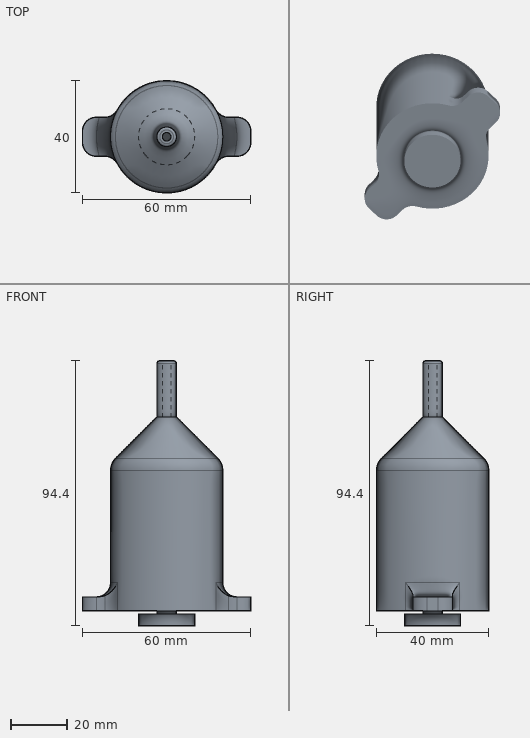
import cadquery as cq
import math

BODY_RADIUS = 40.0 / 2
BODY_STRAIGHT_HEIGHT = 50.0
SHOULDER_RADIUS = 6.0
NOZZLE_RADIUS = 7.0 / 2
NOZZLE_LENGTH = 20.0
NOZZLE_EDGE_RADIUS = 1.0
BORE_DIAMETER = 3.0

LUG_SPAN = 60.0
LUG_WIDTH = 14.0
LUG_THICKNESS = 5.0
LUG_FILLET = 5.0

TOTAL_HEIGHT = 94.4
KNOB_DIAMETER = 20.0
KNOB_THICKNESS = 4.25
STEM_DIAMETER = 7.0

DIAGONAL = math.sqrt(0.5)
SHOULDER_CENTER_RADIUS = BODY_RADIUS - SHOULDER_RADIUS
CONE_BASE_RADIUS = SHOULDER_CENTER_RADIUS + SHOULDER_RADIUS * DIAGONAL
CONE_BASE_Z = BODY_STRAIGHT_HEIGHT + SHOULDER_RADIUS * DIAGONAL
CONE_TOP_Z = CONE_BASE_Z + CONE_BASE_RADIUS - NOZZLE_RADIUS
NOZZLE_TOP_Z = CONE_TOP_Z + NOZZLE_LENGTH
STEM_LENGTH = TOTAL_HEIGHT - NOZZLE_TOP_Z - KNOB_THICKNESS


def make_barrel():
    """Revolved cylinder, rounded shoulder, cone and nozzle."""
    shoulder_mid_angle = math.radians(22.5)
    shoulder_mid = (
        SHOULDER_CENTER_RADIUS + SHOULDER_RADIUS * math.cos(shoulder_mid_angle),
        BODY_STRAIGHT_HEIGHT + SHOULDER_RADIUS * math.sin(shoulder_mid_angle),
    )
    profile = (
        cq.Workplane("XZ")
        .lineTo(BODY_RADIUS, 0)
        .lineTo(BODY_RADIUS, BODY_STRAIGHT_HEIGHT)
        .threePointArc(shoulder_mid, (CONE_BASE_RADIUS, CONE_BASE_Z))
        .lineTo(NOZZLE_RADIUS, CONE_TOP_Z)
        .lineTo(NOZZLE_RADIUS, NOZZLE_TOP_Z)
        .lineTo(0, NOZZLE_TOP_Z)
        .close()
    )
    barrel = profile.revolve(360, (0, 0, 0), (0, 1, 0))
    return barrel.faces(">Z").edges().fillet(NOZZLE_EDGE_RADIUS)


def make_lug_plan():
    """Prism of the two-lug outline, blended into the round body at each root."""
    height = LUG_THICKNESS + LUG_FILLET
    strap = cq.Workplane("XY").rect(LUG_SPAN, LUG_WIDTH).extrude(height)
    strap = strap.edges("|Z").fillet(LUG_FILLET)

    center_y = LUG_WIDTH / 2 + LUG_FILLET
    center_distance = BODY_RADIUS + LUG_FILLET
    center_x = math.sqrt(center_distance**2 - center_y**2)
    touch_scale = BODY_RADIUS / center_distance
    touch = (center_x * touch_scale, center_y * touch_scale)
    root_end = (center_x, LUG_WIDTH / 2)
    middle = ((touch[0] + root_end[0]) / 2 - center_x, (touch[1] + root_end[1]) / 2 - center_y)
    middle_scale = LUG_FILLET / math.hypot(*middle)
    arc_middle = (center_x + middle[0] * middle_scale, center_y + middle[1] * middle_scale)

    root = (
        cq.Workplane("XY")
        .lineTo(center_x, 0)
        .lineTo(*root_end)
        .threePointArc(arc_middle, touch)
        .close()
        .extrude(height)
    )
    root_pair = root.union(root.mirror("XZ"))
    return strap.union(root_pair).union(root_pair.mirror("YZ"))


def make_lugs():
    """Lug outline capped by a flange with a concave blend up to the body wall."""
    blend_outer = BODY_RADIUS + LUG_FILLET
    blend_top = LUG_THICKNESS + LUG_FILLET
    blend_middle = (blend_outer - LUG_FILLET * DIAGONAL, blend_top - LUG_FILLET * DIAGONAL)
    flange = (
        cq.Workplane("XZ")
        .lineTo(LUG_SPAN, 0)
        .lineTo(LUG_SPAN, LUG_THICKNESS)
        .lineTo(blend_outer, LUG_THICKNESS)
        .threePointArc(blend_middle, (BODY_RADIUS, blend_top))
        .lineTo(0, blend_top)
        .close()
        .revolve(360, (0, 0, 0), (0, 1, 0))
    )
    return make_lug_plan().intersect(flange)


def make_housing():
    """Barrel with mounting lugs and a bore along the nozzle."""
    bore = (
        cq.Workplane("XY")
        .workplane(offset=CONE_TOP_Z)
        .circle(BORE_DIAMETER / 2)
        .extrude(NOZZLE_LENGTH)
    )
    return make_barrel().union(make_lugs()).cut(bore)


def make_knob():
    """Round knob whose stem meets the underside of the housing."""
    stem = cq.Workplane("XY").circle(STEM_DIAMETER / 2).extrude(-STEM_LENGTH)
    disc = (
        cq.Workplane("XY")
        .workplane(offset=-STEM_LENGTH)
        .circle(KNOB_DIAMETER / 2)
        .extrude(-KNOB_THICKNESS)
    )
    return stem.union(disc)


housing = make_housing()
knob = make_knob()
result = cq.Compound.makeCompound([housing.solids().val(), knob.solids().val()])